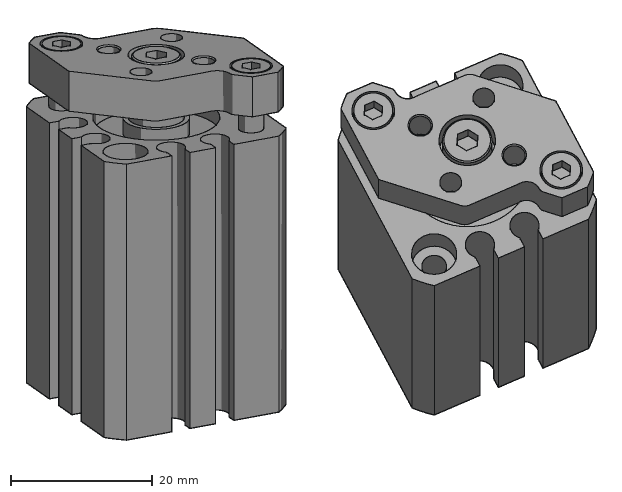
import cadquery as cq
import math

overall_height = 51.5
plate_thickness = 6.1
rod_gap = 3.45
plate_base = overall_height - plate_thickness
housing_height = plate_base - rod_gap

housing_width = 29.0
housing_half = housing_width / 2
housing_corner_radius = 18.9
corner_offset = 10.0

slot_offset = 3.5
slot_neck_width = 2.9
slot_round_diameter = 4.1
slot_round_depth = 3.05

bolt_hole_diameter = 3.5
bolt_head_diameter = 6.4
bolt_head_depth = 4.0

groove_outer_diameter = 18.0
groove_inner_diameter = 9.5
groove_depth = 2.35

plate_half = 14.0
plate_corner_radius = 18.6
waist_half = 9.35
long_edge_start = 0.15
waist_round = 1.75
relief_start = 3.55
relief_center_x = 11.35
relief_center_y = 3.9
nose_radius = 1.0

center_rod_diameter = 8.0
guide_rod_diameter = 3.6

center_recess_diameter = center_rod_diameter
center_screw_diameter = 7.0
center_screw_chamfer = 0.2
center_hex_width = 2.9
center_screw_height = 4.0
guide_recess_diameter = 6.0
guide_screw_diameter = 5.5
guide_hex_width = 2.5
guide_screw_height = 3.0
hex_depth = 2.05

plate_hole_offset = 5.0
plate_hole_diameter = 3.1
countersink_diameter = 3.45
countersink_depth = 0.2

SQRT_HALF = math.sqrt(0.5)
HALF_CORNER_TURN = math.pi / 8


def cylinder(diameter, base, height, x=0.0, y=0.0):
    """Upright cylinder standing at the level `base`."""
    return cq.Workplane("XY", origin=(x, y, base)).circle(diameter / 2).extrude(height)


def side_slot(side_angle, shift):
    """Full-height keyhole slot cut into the side that faces `side_angle`."""
    round_center = housing_half - slot_round_depth
    neck = (
        cq.Workplane("XY")
        .center((round_center + housing_half) / 2, shift)
        .rect(slot_round_depth, slot_neck_width)
        .extrude(housing_height)
    )
    slot = neck.union(cylinder(slot_round_diameter, 0, housing_height, round_center, shift))
    return slot.rotate((0, 0, 0), (0, 0, 1), side_angle)


def make_housing():
    body = cq.Workplane("XY").rect(housing_width, housing_width).extrude(housing_height)
    body = body.intersect(cylinder(2 * housing_corner_radius, 0, housing_height))

    for side_angle in (0, 180, 270):
        for shift in (-slot_offset, slot_offset):
            body = body.cut(side_slot(side_angle, shift))

    for x, y in ((-corner_offset, corner_offset), (corner_offset, -corner_offset)):
        body = body.cut(cylinder(bolt_hole_diameter, 0, housing_height, x, y))
        body = body.cut(
            cylinder(bolt_head_diameter, housing_height - bolt_head_depth, bolt_head_depth, x, y)
        )

    groove_base = housing_height - groove_depth
    groove = cylinder(groove_outer_diameter, groove_base, groove_depth)
    groove = groove.cut(cylinder(groove_inner_diameter, groove_base, groove_depth))
    return body.cut(groove)


def half_turn(point):
    return (-point[0], -point[1])


def plate_outline():
    """Closed plate outline, repeated by a half turn about the axis."""
    corner = math.sqrt(plate_corner_radius**2 - plate_half**2)
    corner_middle = plate_corner_radius * SQRT_HALF

    long_edge_begin = (long_edge_start, -plate_half)

    round_corner_y = waist_half - long_edge_start - plate_half
    tangent = waist_round * math.tan(HALF_CORNER_TURN)
    round_start = (waist_half - tangent * SQRT_HALF, round_corner_y - tangent * SQRT_HALF)
    round_end = (waist_half, round_corner_y + tangent)
    round_center_x = waist_half - waist_round
    round_middle = (
        round_center_x + waist_round * math.cos(HALF_CORNER_TURN),
        round_end[1] - waist_round * math.sin(HALF_CORNER_TURN),
    )

    relief_radius = math.hypot(relief_center_x - waist_half, relief_center_y - relief_start)
    relief_begin = (waist_half, relief_start)
    relief_middle = (
        relief_center_x - relief_radius * SQRT_HALF,
        relief_center_y + relief_radius * SQRT_HALF,
    )
    relief_end = (relief_center_x, relief_center_y + relief_radius)
    nose_middle = (
        relief_end[0] + nose_radius * math.sin(HALF_CORNER_TURN),
        relief_end[1] + nose_radius * (1 - math.cos(HALF_CORNER_TURN)),
    )
    nose_end = (
        relief_end[0] + nose_radius * SQRT_HALF,
        relief_end[1] + nose_radius * (1 - SQRT_HALF),
    )
    short_edge_end = (plate_half, nose_end[1] + plate_half - nose_end[0])

    outline = cq.Workplane("XY", origin=(0, 0, plate_base)).moveTo(*long_edge_begin)
    for turn in (lambda point: point, half_turn):
        outline = (
            outline.lineTo(*turn(round_start))
            .threePointArc(turn(round_middle), turn(round_end))
            .lineTo(*turn(relief_begin))
            .threePointArc(turn(relief_middle), turn(relief_end))
            .threePointArc(turn(nose_middle), turn(nose_end))
            .lineTo(*turn(short_edge_end))
            .lineTo(*turn((plate_half, corner)))
            .threePointArc(turn((corner_middle, corner_middle)), turn((corner, plate_half)))
            .lineTo(*turn(half_turn(long_edge_begin)))
        )
    return outline.close()


def hex_socket(width, x=0.0, y=0.0):
    """Hexagonal socket with two flats facing +X and -X."""
    across_corners = width / math.cos(math.pi / 6)
    return (
        cq.Workplane("XY", origin=(x, y, overall_height - hex_depth))
        .polygon(6, across_corners)
        .extrude(hex_depth)
        .rotate((x, y, 0), (x, y, 1), 30)
    )


def screw_surround(recess_diameter, screw, screw_height, x=0.0, y=0.0):
    """Narrow ring gap left between a screw head and its recess."""
    recess = cylinder(recess_diameter, overall_height - screw_height, screw_height, x, y)
    return recess.cut(screw)


def make_plate():
    body = plate_outline().extrude(plate_thickness)

    body = body.union(cylinder(center_rod_diameter, housing_height, rod_gap))
    screw = cylinder(center_screw_diameter, overall_height - center_screw_height, center_screw_height)
    screw = screw.faces(">Z").chamfer(center_screw_chamfer)
    body = body.cut(screw_surround(center_recess_diameter, screw, center_screw_height))
    body = body.cut(hex_socket(center_hex_width))

    for x, y in ((-corner_offset, -corner_offset), (corner_offset, corner_offset)):
        body = body.union(cylinder(guide_rod_diameter, housing_height, rod_gap, x, y))
        screw = cylinder(
            guide_screw_diameter, overall_height - guide_screw_height, guide_screw_height, x, y
        )
        body = body.cut(screw_surround(guide_recess_diameter, screw, guide_screw_height, x, y))
        body = body.cut(hex_socket(guide_hex_width, x, y))

    for x in (-plate_hole_offset, plate_hole_offset):
        for y in (-plate_hole_offset, plate_hole_offset):
            body = body.cut(cylinder(plate_hole_diameter, plate_base, plate_thickness, x, y))
        countersink = (
            cq.Workplane("XY", origin=(x, x, overall_height))
            .circle(countersink_diameter / 2)
            .workplane(offset=-countersink_depth)
            .circle(plate_hole_diameter / 2)
            .loft()
        )
        body = body.cut(countersink)
    return body


housing = make_housing()
plate = make_plate()
result = cq.Compound.makeCompound([housing.val(), plate.val()])